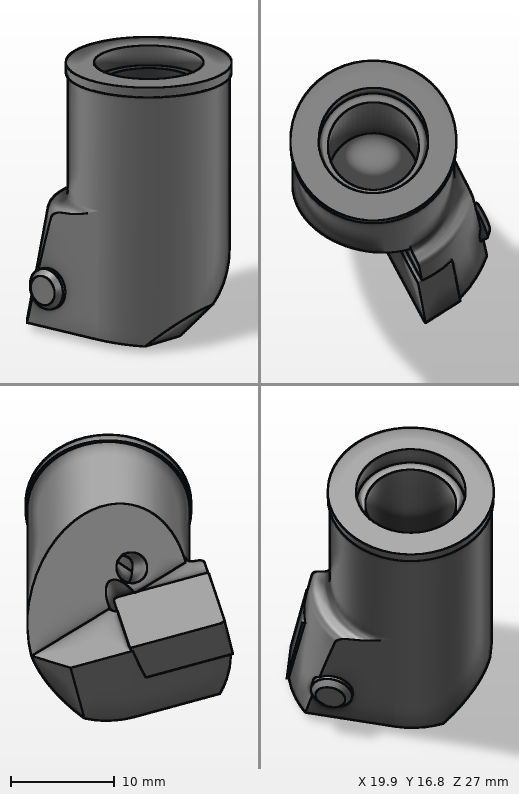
import cadquery as cq
import math

height = 27.0
shank_radius = 7.8
flange_radius = 8.0
flange_thickness = 1.0
counterbore_radius = 5.26
counterbore_depth = 2.0
bore_radius = 4.37
bore_depth = 13.01

relief_angle = 6.0
rake_y = 0.45
underside_gap = 0.05

lean_angle = 10.0
nose_base_radius = 11.88
neck_top = 13.93
neck_fillet = 1.0
nose_edge_fillet = 0.65

heel_start_x = 3.73

chip_face_height = 8.55
chip_slope_x = -0.58
chip_slope_y = 0.68

coolant_radius = 1.48
coolant_x = -3.0
coolant_y = 1.95
coolant_rise_angle = 40.0
coolant_depth = 2.7

insert_side_x = -11.95
insert_edge_length = 9.67
insert_thickness = 3.97
insert_corner_radius = 0.43

clearance_radius = 1.48
clearance_x = -1.57
clearance_z = 9.07

screw_radius = 2.02
screw_x = -6.1
screw_z = 4.95
screw_tip_y = -8.75
screw_chamfer = 0.57

reach = 40.5

lean = math.radians(lean_angle)
relief_slope = math.tan(math.radians(relief_angle))
insert_seat_y = rake_y - insert_thickness


def make_shank():
    """Cylinder with a thin flange around its top."""
    shank = cq.Workplane("XY").circle(shank_radius).extrude(height)
    flange = (
        cq.Workplane("XY")
        .workplane(offset=height - flange_thickness)
        .circle(flange_radius)
        .extrude(flange_thickness)
    )
    return shank.union(flange)


def make_nose():
    """Quarter of a cone whose top is square to its side, blended into the shank."""
    sin, cos, tan = math.sin(lean), math.cos(lean), math.tan(lean)
    blend_r = shank_radius + neck_fillet * (1 - sin)
    blend_z = neck_top - neck_fillet * cos
    top_length = (nose_base_radius - blend_z * tan - blend_r) * cos / math.cos(2 * lean)
    corner_r = blend_r + top_length * cos
    corner_z = blend_z - top_length * sin
    profile = (
        cq.Workplane("XZ")
        .lineTo(nose_base_radius, 0)
        .lineTo(corner_r + nose_edge_fillet * sin, corner_z - nose_edge_fillet * cos)
        .tangentArcPoint(
            (corner_r - nose_edge_fillet * cos, corner_z + nose_edge_fillet * sin), relative=False
        )
        .lineTo(blend_r, blend_z)
        .tangentArcPoint((shank_radius, neck_top), relative=False)
        .lineTo(0, neck_top)
        .close()
    )
    cone = profile.revolve(360, (0, 0, 0), (0, 1, 0))
    quarter = cq.Workplane("XY").box(reach, shank_radius, reach, centered=False)
    return cone.intersect(quarter.translate((-reach, -shank_radius, 0)))


def make_underside_cut():
    """Wedge below the underside, which rises at the relief angle towards -Y."""
    return (
        cq.Workplane("YZ")
        .moveTo(-reach, underside_gap + relief_slope * (rake_y + reach))
        .lineTo(reach, underside_gap + relief_slope * (rake_y - reach))
        .lineTo(reach, -reach)
        .lineTo(-reach, -reach)
        .close()
        .extrude(reach, both=True)
    )


def make_heel_cut():
    """Block below the 45 degree heel chamfer."""
    return (
        cq.Workplane("XZ")
        .moveTo(heel_start_x, 0)
        .lineTo(heel_start_x + reach, reach)
        .lineTo(heel_start_x + reach, -reach)
        .lineTo(heel_start_x - reach, -reach)
        .close()
        .extrude(reach, both=True)
    )


def chip_face_z(x, y):
    return chip_face_height + chip_slope_x * x + chip_slope_y * y


def make_chip_space():
    """Space under the sloped chip face, behind the plane of the shank axis."""
    face = cq.Plane(origin=(0, 0, chip_face_z(0, 0)), normal=(-chip_slope_x, -chip_slope_y, 1))
    below_face = cq.Workplane(face).rect(2 * reach, 2 * reach).extrude(-reach)
    rear_half = cq.Workplane("XY").box(2 * reach, reach, 2 * reach, centered=(True, False, True))
    return below_face.intersect(rear_half)


def make_bore():
    """Blind bore with a counterbore, open at the top."""
    top = cq.Workplane("XY").workplane(offset=height)
    bore = top.circle(bore_radius).extrude(-bore_depth)
    return bore.union(top.circle(counterbore_radius).extrude(-counterbore_depth))


def make_coolant_hole():
    """Breaks into the floor of the bore; starts clear of the chip face, in the open chip space."""
    rise = math.hypot(coolant_x, coolant_y) * math.tan(math.radians(coolant_rise_angle))
    entry = cq.Plane(
        origin=(coolant_x, coolant_y, chip_face_z(coolant_x, coolant_y)),
        normal=(-coolant_x, -coolant_y, rise),
    )
    lead_in = coolant_radius
    return (
        cq.Workplane(entry)
        .workplane(offset=-lead_in)
        .circle(coolant_radius)
        .extrude(lead_in + coolant_depth)
    )


def make_corner_clearance():
    """Round relief along Y, from the insert seat out through the chip face."""
    return (
        cq.Workplane("XZ", origin=(clearance_x, insert_seat_y, clearance_z))
        .circle(clearance_radius)
        .extrude(-reach)
    )


def make_insert():
    """Rhombic plate with rounded corners that narrows by the relief angle away from its rake face."""
    insert_height = insert_edge_length * math.cos(lean)
    shift = insert_edge_length * math.sin(lean)
    corners = [
        (0, 0),
        (insert_edge_length, 0),
        (insert_edge_length + shift, insert_height),
        (shift, insert_height),
        (0, 0),
    ]
    outline = cq.Sketch().polygon(corners).vertices().fillet(insert_corner_radius)
    return (
        cq.Workplane("XZ", origin=(insert_side_x, rake_y, 0))
        .placeSketch(outline)
        .extrude(insert_thickness, taper=relief_angle)
    )


def make_screw():
    """Round screw from its chamfered tip to the back of the insert."""
    return (
        cq.Workplane("XZ", origin=(screw_x, screw_tip_y, screw_z))
        .circle(screw_radius)
        .extrude(screw_tip_y - insert_seat_y)
        .faces("<Y")
        .chamfer(screw_chamfer)
    )


def make_insert_pocket(insert):
    """Space of the insert, open sideways through the cone."""
    opening = insert.translate((-insert_edge_length / 2, 0, 0))
    return insert.union(opening)


def make_holder(insert, screw):
    holder = make_shank().union(make_nose())
    holder = holder.cut(make_underside_cut()).cut(make_heel_cut()).cut(make_chip_space())
    holder = holder.cut(make_bore()).cut(make_coolant_hole()).cut(make_corner_clearance())
    return holder.cut(make_insert_pocket(insert)).cut(screw)


insert = make_insert()
screw = make_screw()
holder = make_holder(insert, screw)

result = cq.Compound.makeCompound([holder.solids().val(), insert.val(), screw.solids().val()])